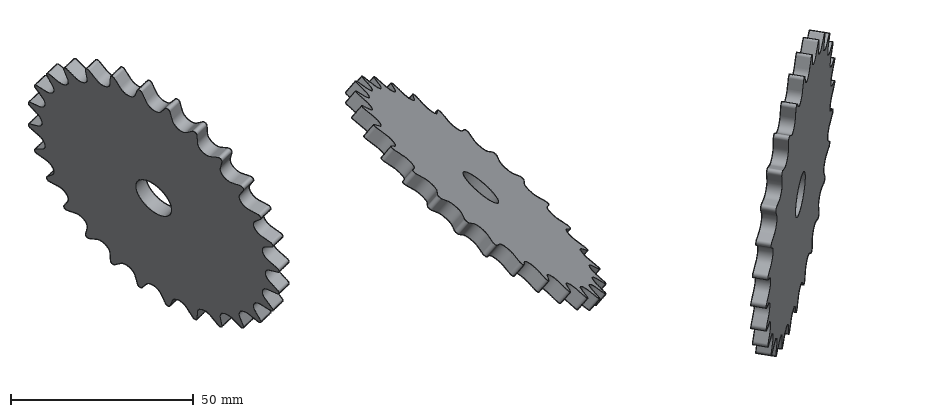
import cadquery as cq
import math

outer_size = 89.7
thickness = 4.3
tooth_count = 28
root_radius = 39.9
seat_radius = 3.0
tip_arc_radius = 0.9
bore_diameter = 12.7

pitch_angle = 2 * math.pi / tooth_count
half_pitch = pitch_angle / 2
seat_center_radius = root_radius + seat_radius
tip_center_radius = (outer_size / 2 - tip_arc_radius) / math.cos(half_pitch)
tip_radius = tip_center_radius + tip_arc_radius


def rotate(point, angle):
    """Turn a point about the plate centre, from the vertical axis towards +X."""
    x, z = point
    return (
        x * math.cos(angle) + z * math.sin(angle),
        z * math.cos(angle) - x * math.sin(angle),
    )


def mirror(point):
    """Reflect a point to the other side of the gap's centreline."""
    x, z = point
    return (-x, z)


def flank_ends():
    """Ends of the straight flank that is tangent to both the seat arc and the tip arc."""
    tip_x, tip_z = rotate((0, tip_center_radius), half_pitch)
    span_x = tip_x
    span_z = tip_z - seat_center_radius
    span = math.hypot(span_x, span_z)
    normal_angle = math.atan2(span_z, span_x) - math.acos((seat_radius + tip_arc_radius) / span)
    normal_x = math.cos(normal_angle)
    normal_z = math.sin(normal_angle)
    seat_end = (seat_radius * normal_x, seat_center_radius + seat_radius * normal_z)
    tip_end = (tip_x - tip_arc_radius * normal_x, tip_z - tip_arc_radius * normal_z)
    return seat_end, tip_end


def toothed_plate():
    """Flat plate whose rim repeats gap, flank, tip and flank once per tooth."""
    seat_end, tip_end = flank_ends()
    tip_start = mirror(tip_end)
    seat_start = mirror(seat_end)
    root_point = (0, root_radius)
    tip_point = rotate((0, tip_radius), half_pitch)

    outline = cq.Workplane("XZ").moveTo(*tip_start)
    for tooth in range(tooth_count):
        angle = tooth * pitch_angle
        outline = outline.lineTo(*rotate(seat_start, angle))
        outline = outline.threePointArc(rotate(root_point, angle), rotate(seat_end, angle))
        outline = outline.lineTo(*rotate(tip_end, angle))
        outline = outline.threePointArc(rotate(tip_point, angle), rotate(tip_start, angle + pitch_angle))
    return outline.close().extrude(thickness / 2, both=True)


def bore():
    """Through hole at the plate centre."""
    return cq.Workplane("XZ").circle(bore_diameter / 2).extrude(thickness / 2, both=True)


result = toothed_plate().cut(bore())